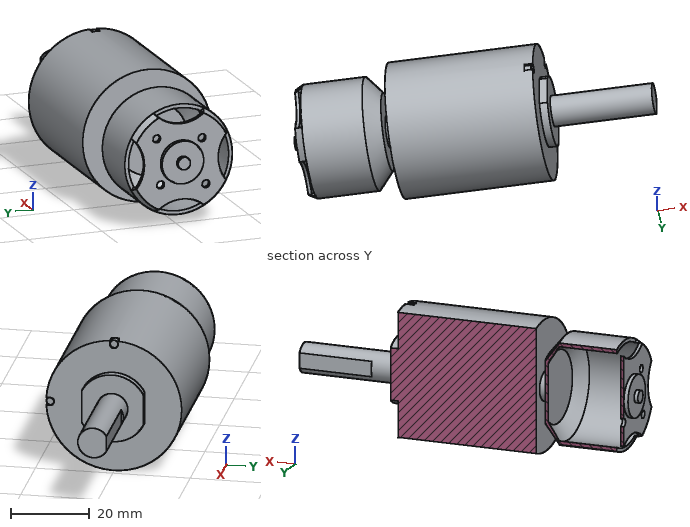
import cadquery as cq
import math


housing_radius = 17.5
housing_length = 38.2

boss_radius = 9.0
boss_length = 2.0
boss_across_flats = 15.9
shaft_radius = 4.0
shaft_reach = 28.2
shaft_flat_length = 20.0
shaft_flat_offset = 3.4

pin_radius = 1.0
pin_slot_length = 2.2
pin_setback = 0.5
pin_angles = (90, 180)

body_gap = 0.2
stub_length = 2.2
can_radius = 14.65
can_length = 15.85
can_wall = 1.0
cone_length = 4.0
cone_end_radius = 10.0
cavity_end_radius = 9.6

cap_depth = 1.95
cap_front_radius = 13.6
cap_thickness = 0.9
hub_radius = 5.7
hub_length = 1.1
tip_radius = 1.7
tip_length = 1.0

window_count = 4
window_radius = 9.55
window_inner_reach = 10.0
mount_hole_radius = 1.0
mount_holes = ((9.5, 45), (9.5, 225), (8.0, 135), (8.0, 315))

housing_front = housing_length
boss_front = housing_front + boss_length
shaft_end = housing_front + shaft_reach
stub_front = -body_gap
cone_end = stub_front - stub_length
can_front = cone_end - cone_length
can_rear = can_front - can_length
cap_rear = can_rear - cap_depth
cap_inside = cap_rear + cap_thickness
hub_rear = cap_rear - hub_length
tip_rear = hub_rear - tip_length


def cylinder_x(x_start, x_end, radius, y=0.0, z=0.0):
    """Solid cylinder parallel to X, centred on (y, z)."""
    return cq.Workplane("YZ", origin=(x_start, y, z)).circle(radius).extrude(x_end - x_start)


def box_x(x_start, x_end, y_start, y_end, z_start, z_end):
    """Axis-aligned block between the given limits."""
    return cq.Workplane("XY").box(
        x_end - x_start, y_end - y_start, z_end - z_start, centered=False
    ).translate((x_start, y_start, z_start))


def revolve_x(points):
    """Solid of revolution about the X axis from (x, radius) points."""
    return cq.Workplane("XY").polyline(points).close().revolve(360, (0, 0, 0), (1, 0, 0))


def polar(radius, angle):
    """(y, z) position at a radius and at an angle in degrees from +Y towards +Z."""
    return radius * math.cos(math.radians(angle)), radius * math.sin(math.radians(angle))


def make_boss():
    """Round boss with two flats facing +Y and -Y."""
    half_flats = boss_across_flats / 2
    disc = cylinder_x(housing_front, boss_front, boss_radius)
    return disc.intersect(
        box_x(housing_front, boss_front, -half_flats, half_flats, -boss_radius, boss_radius)
    )


def make_output_shaft():
    """Output shaft with a D flat facing +Y at its free end."""
    shaft = cylinder_x(housing_front, shaft_end, shaft_radius)
    return shaft.cut(
        box_x(shaft_end - shaft_flat_length, shaft_end, shaft_flat_offset, shaft_radius,
              -shaft_radius, shaft_radius)
    )


def add_locating_pin(housing, angle):
    """Cut a round-bottomed slot in the front rim and leave a pin lying in it, flush with the rim."""
    slot_rear = housing_front - pin_slot_length
    pin_centre = housing_radius - pin_radius
    slot = cylinder_x(slot_rear, housing_front, pin_radius, y=pin_centre).union(
        box_x(slot_rear, housing_front, pin_centre, housing_radius, -pin_radius, pin_radius)
    )
    pin = cylinder_x(slot_rear, housing_front - pin_setback, pin_radius, y=pin_centre)
    recess = slot.cut(pin).rotate((0, 0, 0), (1, 0, 0), angle)
    return housing.cut(recess)


def make_gearbox():
    housing = cylinder_x(0, housing_front, housing_radius)
    for angle in pin_angles:
        housing = add_locating_pin(housing, angle)
    return housing.union(make_boss()).union(make_output_shaft())


def make_can_shell():
    """Hollow can: tapered end cap, cylindrical wall and closed cone."""
    outside = revolve_x([
        (cap_rear, 0),
        (cap_rear, cap_front_radius),
        (can_rear, can_radius),
        (can_front, can_radius),
        (cone_end, cone_end_radius),
        (cone_end, 0),
    ])
    cavity_radius = can_radius - can_wall
    cavity = revolve_x([
        (cap_inside, 0),
        (cap_inside, cavity_radius),
        (can_front, cavity_radius),
        (cone_end - can_wall, cavity_end_radius),
        (cone_end - can_wall, 0),
    ])
    return outside.cut(cavity)


def cut_windows(can):
    """Scallop the rim of the end cap back to the cylindrical wall."""
    for index in range(window_count):
        y, z = polar(window_inner_reach + window_radius, index * 360 / window_count)
        can = can.cut(cylinder_x(cap_rear, can_rear, window_radius, y, z))
    return can


def cut_mount_holes(can):
    for radius, angle in mount_holes:
        y, z = polar(radius, angle)
        can = can.cut(cylinder_x(cap_rear, cap_inside, mount_hole_radius, y, z))
    return can


def make_motor():
    can = cut_mount_holes(cut_windows(make_can_shell()))
    hub = cylinder_x(hub_rear, cap_rear, hub_radius)
    tip = cylinder_x(tip_rear, hub_rear, tip_radius)
    stub = cylinder_x(cone_end, stub_front, shaft_radius)
    return can.union(hub).union(tip).union(stub)


gearbox = make_gearbox()
motor = make_motor()

result = cq.Compound.makeCompound([gearbox.val(), motor.val()])